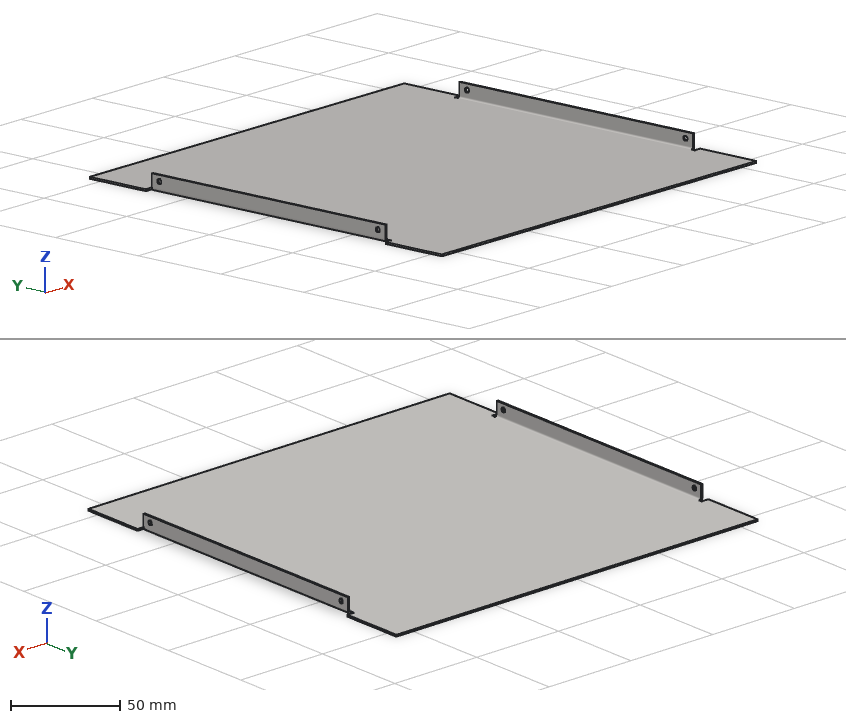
import cadquery as cq

length_x = 220.8
width_y = 213.0
height = 8.5
thickness = 1.0

bend_inner_radius = 1.0
bend_outer_radius = bend_inner_radius + thickness
flange_inset = 2.0
flange_length = 141.3
notch_length = 144.9
notch_depth = flange_inset + bend_outer_radius

hole_diameter = 2.5
hole_end_distance = 4.6
hole_top_distance = 3.0
hole_spacing = flange_length - 2 * hole_end_distance

flange_outer_x = length_x / 2 - flange_inset
bend_start_x = length_x / 2 - notch_depth


def make_sheet():
    """Flat sheet with a shallow notch in each X edge."""
    sheet = cq.Workplane("XY").box(length_x, width_y, thickness, centered=(True, True, False))
    notches = (
        cq.Workplane("XY")
        .pushPoints([(-length_x / 2, 0), (length_x / 2, 0)])
        .rect(2 * notch_depth, notch_length)
        .extrude(thickness)
    )
    return sheet.cut(notches)


def make_flange():
    """Rounded bend and upright wall on the +X side, with its holes."""
    flange_inner_x = flange_outer_x - thickness
    bend_center = cq.Vector(bend_start_x, bend_outer_radius)
    diagonal = cq.Vector(1, -1).normalized()
    outer_mid = bend_center + diagonal * bend_outer_radius
    inner_mid = bend_center + diagonal * bend_inner_radius
    flange = (
        cq.Workplane("XZ")
        .moveTo(bend_start_x, 0)
        .threePointArc((outer_mid.x, outer_mid.y), (flange_outer_x, bend_outer_radius))
        .lineTo(flange_outer_x, height)
        .lineTo(flange_inner_x, height)
        .lineTo(flange_inner_x, bend_outer_radius)
        .threePointArc((inner_mid.x, inner_mid.y), (bend_start_x, thickness))
        .close()
        .extrude(flange_length / 2, both=True)
    )
    hole_z = height - hole_top_distance
    holes = (
        cq.Workplane("YZ", origin=(flange_inner_x, 0, 0))
        .pushPoints([(-hole_spacing / 2, hole_z), (hole_spacing / 2, hole_z)])
        .circle(hole_diameter / 2)
        .extrude(thickness)
    )
    return flange.cut(holes)


right_flange = make_flange()
left_flange = right_flange.mirror("YZ")
result = make_sheet().union(right_flange).union(left_flange)